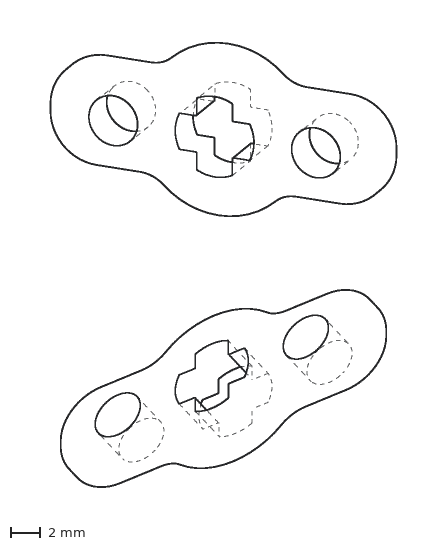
import cadquery as cq
import math

length = 25.0
thickness = 3.0
arm_width = 7.5
end_corner_radius = 3.5
hub_radius = 6.0
neck_radius = 2.5
edge_radius = 1.0

pin_hole_diameter = 3.6
pin_hole_spacing = 15.0
axle_diameter = 5.82
axle_slot_width = 2.62
axle_corner_radius = 0.1


def extrude_through(sketch):
    """Extrude an XZ outline over the thickness, centred on Y = 0."""
    return sketch.extrude(thickness / 2, both=True)


def make_arms():
    """Straight bar with large rounded corners at both ends."""
    bar = cq.Workplane("XZ").rect(length, arm_width)
    return extrude_through(bar).edges("|Y").fillet(end_corner_radius)


def make_neck(side_x, side_z):
    """Concave filler tangent to the hub circle and to one long arm edge."""
    arm_edge = arm_width / 2
    centre_z = arm_edge + neck_radius
    centre_distance = hub_radius + neck_radius
    centre_x = math.sqrt(centre_distance**2 - centre_z**2)
    hub_share = hub_radius / centre_distance
    hub_tangent = (side_x * centre_x * hub_share, side_z * centre_z * hub_share)
    arm_tangent = (side_x * centre_x, side_z * arm_edge)

    middle_angle = math.atan2(centre_x, centre_z) / 2
    arc_middle = (
        side_x * (centre_x - neck_radius * math.sin(middle_angle)),
        side_z * (centre_z - neck_radius * math.cos(middle_angle)),
    )
    outline = (
        cq.Workplane("XZ")
        .lineTo(*hub_tangent)
        .threePointArc(arc_middle, arm_tangent)
        .lineTo(arm_tangent[0], 0)
        .close()
    )
    return extrude_through(outline)


def make_plate():
    """Bar and round hub, blended by four necks, with rounded rims."""
    plate = make_arms().union(extrude_through(cq.Workplane("XZ").circle(hub_radius)))
    for side_x in (-1, 1):
        for side_z in (-1, 1):
            plate = plate.union(make_neck(side_x, side_z))
    return plate.clean().faces("<Y or >Y").edges().fillet(edge_radius)


def make_axle_hole():
    """Cross-shaped opening with arm ends on a common circle."""
    slot_x = extrude_through(cq.Workplane("XZ").rect(axle_diameter, axle_slot_width))
    slot_z = extrude_through(cq.Workplane("XZ").rect(axle_slot_width, axle_diameter))
    envelope = extrude_through(cq.Workplane("XZ").circle(axle_diameter / 2))
    cross = slot_x.union(slot_z).intersect(envelope)
    return cross.edges("|Y").fillet(axle_corner_radius)


def make_pin_holes():
    """One round through hole in each arm."""
    centres = [(-pin_hole_spacing / 2, 0), (pin_hole_spacing / 2, 0)]
    return extrude_through(cq.Workplane("XZ").pushPoints(centres).circle(pin_hole_diameter / 2))


result = make_plate().cut(make_axle_hole()).cut(make_pin_holes())